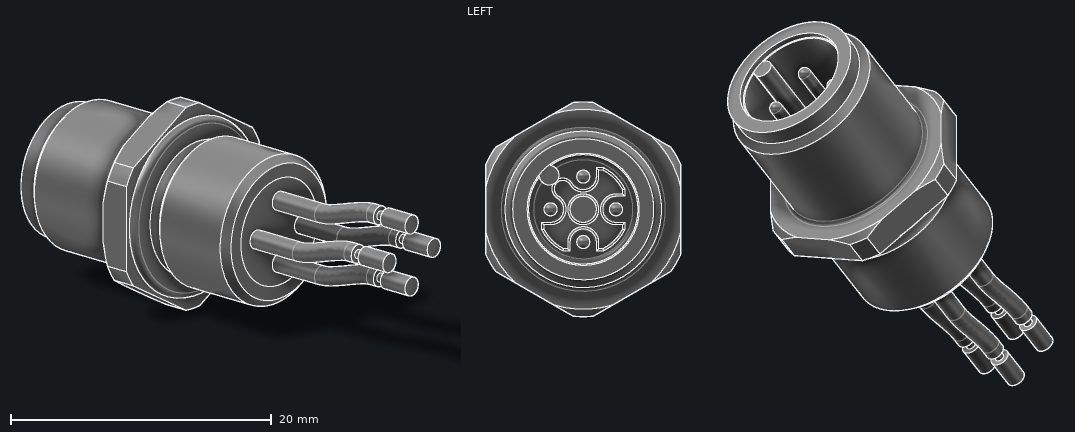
import cadquery as cq
import math

OVERALL_LENGTH = 35.85

HOUSING_LENGTH = 21.98
THREAD_DIA = 12.0
RELIEF_DIA = 10.83
THREAD_CHAMFER = (THREAD_DIA - RELIEF_DIA) / 2
NOSE_LENGTH = 1.35
GROOVE_END = 14.5
HEX_START = 10.55
HEX_END = 12.98
HEX_ACROSS_FLATS = 15.0
HEX_CORNER_DIA = 16.5
HEX_CHAMFER_RADIAL = 0.57
HEX_CHAMFER_AXIAL = 0.43
ROOT_FILLET = 0.3
COLLAR_DIA = 14.38
COLLAR_THICKNESS = 0.55
COLLAR_ROUND = 0.5
HOUSING_BORE_DIA = 8.6

RIM_SETBACK = 0.5
CUP_BORE_DIA = 8.4
CUP_FLOOR = 8.0
CUP_FLOOR_FILLET = 0.4
KEY_DIA = 1.5
KEY_OFFSET = 2.6

CONTACT_COUNT = 4
CONTACT_RADIUS = 2.5
PIN_DIA = 1.0
PIN_TIP = 1.97

RECESS_DIA = 7.1
RECESS_WIDTH = 6.38
RECESS_DEPTH = 0.2
RECESS_SLOPE = 0.18
ISLAND_DIA = 2.0
KEY_LOBE_WIDTH = 1.65
KEY_LOBE_OFFSET = 1.58

WIRE_DIA = 1.5
STRIPPED_DIA = 0.7
BEND_START = 26.4
BEND_END = 31.8
BEND_RISE = 1.22
BEND_HANDLE = 0.25 * (BEND_END - BEND_START)
STRIP_START = 32.55
STRIP_END = 33.27


def cylinder_x(diameter, start, end, y=0.0, z=0.0):
    """Cylinder parallel to X between two X positions."""
    plane = cq.Workplane("YZ", origin=(start, y, z))
    return plane.circle(diameter / 2).extrude(end - start)


def contact_places():
    """Y and Z of each contact, evenly spaced around the axis."""
    places = []
    for index in range(CONTACT_COUNT):
        angle = 2 * math.pi * index / CONTACT_COUNT
        places.append((CONTACT_RADIUS * math.cos(angle), CONTACT_RADIUS * math.sin(angle)))
    return places


def make_sleeve():
    thread_r = THREAD_DIA / 2
    relief_r = RELIEF_DIA / 2
    collar_r = COLLAR_DIA / 2
    collar_end = HEX_END + COLLAR_THICKNESS
    collar_flat_r = collar_r - COLLAR_ROUND
    round_start = collar_end - COLLAR_ROUND
    diagonal = math.sqrt(0.5)
    collar_mid = (round_start + COLLAR_ROUND * diagonal, collar_flat_r + COLLAR_ROUND * diagonal)
    root_start = HEX_START - ROOT_FILLET
    root_mid = (root_start + ROOT_FILLET * diagonal, thread_r + ROOT_FILLET * (1 - diagonal))
    return (
        cq.Workplane("XY")
        .moveTo(0, 0)
        .lineTo(0, relief_r)
        .lineTo(NOSE_LENGTH, relief_r)
        .lineTo(NOSE_LENGTH + THREAD_CHAMFER, thread_r)
        .lineTo(root_start, thread_r)
        .threePointArc(root_mid, (HEX_START, thread_r + ROOT_FILLET))
        .lineTo(HEX_START, collar_r)
        .lineTo(round_start, collar_r)
        .threePointArc(collar_mid, (collar_end, collar_flat_r))
        .lineTo(collar_end, relief_r)
        .lineTo(GROOVE_END, relief_r)
        .lineTo(GROOVE_END + THREAD_CHAMFER, thread_r)
        .lineTo(HOUSING_LENGTH - THREAD_CHAMFER, thread_r)
        .lineTo(HOUSING_LENGTH, relief_r)
        .lineTo(HOUSING_LENGTH, 0)
        .close()
        .revolve(360, (0, 0, 0), (1, 0, 0))
    )


def make_hexagon():
    """Hexagon with flats on the Y sides, turned down at its corners and chamfered in front."""
    corner_to_corner = HEX_ACROSS_FLATS / math.cos(math.pi / 6)
    prism = (
        cq.Workplane("YZ", origin=(HEX_START, 0, 0))
        .transformed(rotate=(0, 0, 90))
        .polygon(6, corner_to_corner)
        .extrude(HEX_END - HEX_START)
    )
    turned = cylinder_x(HEX_CORNER_DIA, HEX_START, HEX_END)
    turned = turned.faces("<X").chamfer(HEX_CHAMFER_AXIAL, HEX_CHAMFER_RADIAL)
    return prism.intersect(turned)


def make_housing():
    bore = cylinder_x(HOUSING_BORE_DIA, 0, HOUSING_LENGTH)
    return make_sleeve().union(make_hexagon()).cut(bore)


def make_floor_recess():
    """Cutter for the clover recess: four petals between the pin islands, around a central boss."""
    start = CUP_FLOOR
    end = CUP_FLOOR + RECESS_DEPTH
    half = RECESS_DIA / 2
    square = cq.Workplane("YZ", origin=(start, 0, 0)).rect(RECESS_WIDTH, RECESS_WIDTH).extrude(RECESS_DEPTH)
    recess = cylinder_x(RECESS_DIA, start, end).intersect(square)

    corner = cq.Workplane("YZ", origin=(start, 0, 0)).rect(half, half, centered=False).extrude(RECESS_DEPTH)
    lobe_length = KEY_LOBE_OFFSET * math.sqrt(2)
    lobe = (
        cq.Workplane("YZ", origin=(start, 0, 0))
        .transformed(rotate=(0, 0, 45))
        .center(lobe_length / 2, 0)
        .slot2D(lobe_length + KEY_LOBE_WIDTH, KEY_LOBE_WIDTH)
        .extrude(RECESS_DEPTH)
    )
    hub = cylinder_x(CONTACT_RADIUS * math.sqrt(2), start, end)
    recess = recess.cut(corner).union(lobe).union(hub)

    for index in range(CONTACT_COUNT):
        island = (
            cq.Workplane("YZ", origin=(start, 0, 0))
            .center(CONTACT_RADIUS + half / 2, 0)
            .slot2D(half + ISLAND_DIA, ISLAND_DIA)
            .extrude(RECESS_DEPTH)
            .rotate((0, 0, 0), (1, 0, 0), index * 360 / CONTACT_COUNT)
        )
        recess = recess.cut(island)
    recess = recess.cut(cylinder_x(ISLAND_DIA, start, end))
    return recess.faces(">X").chamfer(RECESS_SLOPE)


def make_carrier():
    body = cylinder_x(HOUSING_BORE_DIA, RIM_SETBACK, HOUSING_LENGTH)
    cavity = cylinder_x(CUP_BORE_DIA, RIM_SETBACK, CUP_FLOOR).faces(">X").edges().fillet(CUP_FLOOR_FILLET)
    key = cylinder_x(KEY_DIA, RIM_SETBACK, HOUSING_LENGTH, KEY_OFFSET, KEY_OFFSET)
    return body.cut(cavity).cut(make_floor_recess()).union(key.intersect(body))


def make_pin(y, z):
    """Contact pin with a hemispherical tip, rooted in the carrier."""
    pin_r = PIN_DIA / 2
    shank_start = PIN_TIP + pin_r
    shank = cylinder_x(PIN_DIA, shank_start, CUP_FLOOR + RECESS_DEPTH, y, z)
    tip = cq.Workplane("XY", origin=(shank_start, y, z)).sphere(pin_r)
    return shank.union(tip)


def make_wire(y, z):
    """Wire that leaves the carrier straight, steps up in Z, and is stripped near its end."""
    raised_z = z + BEND_RISE
    bend_path = cq.Workplane("XZ", origin=(0, y, 0)).moveTo(BEND_START, z).bezier(
        [
            (BEND_START, z),
            (BEND_START + BEND_HANDLE, z),
            (BEND_END - BEND_HANDLE, raised_z),
            (BEND_END, raised_z),
        ]
    )
    bend = cq.Workplane("YZ", origin=(BEND_START, y, z)).circle(WIRE_DIA / 2).sweep(bend_path)
    return (
        cylinder_x(WIRE_DIA, HOUSING_LENGTH, BEND_START, y, z)
        .union(bend)
        .union(cylinder_x(WIRE_DIA, BEND_END, STRIP_START, y, raised_z))
        .union(cylinder_x(STRIPPED_DIA, STRIP_START, STRIP_END, y, raised_z))
        .union(cylinder_x(WIRE_DIA, STRIP_END, OVERALL_LENGTH, y, raised_z))
    )


def make_insert():
    insert = make_carrier()
    for y, z in contact_places():
        insert = insert.union(make_pin(y, z)).union(make_wire(y, z))
    return insert


housing = make_housing()
contact_insert = make_insert()

result = cq.Compound.makeCompound([housing.val(), contact_insert.val()])